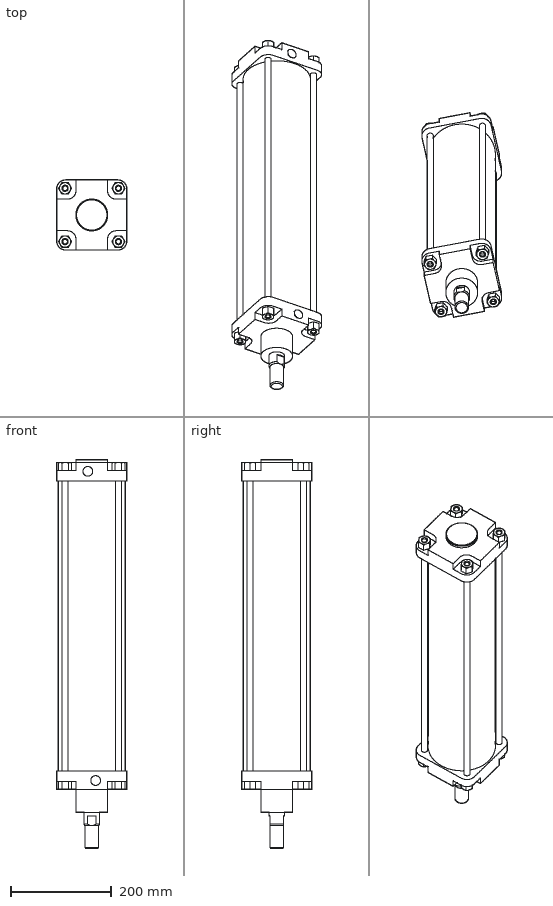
import cadquery as cq
import math

total_length = 774.0
neck_bottom_z = 49.0
flats_top_z = 65.0
collar_bottom_z = 72.0
collar_length = 46.0
cover_height = 37.0
boss_height = 6.0
front_cover_z = collar_bottom_z + collar_length
barrel_bottom_z = front_cover_z + cover_height
rear_cover_top_z = total_length - boss_height
barrel_top_z = rear_cover_top_z - cover_height

cover_width = 140.0
corner_radius = 18.5
pocket_size = 39.0
pocket_depth = 16.0
pocket_radius = 17.0
collar_diameter = 63.5
boss_diameter = 63.5
boss_chamfer = 1.5
port_diameter = 19.0
port_depth = 20.0
port_offset = 8.0
port_drop = 18.0

barrel_diameter = 134.0

tie_rod_spacing = 106.0
tie_rod_diameter = 12.0
nut_across_flats = 22.5
nut_height = pocket_depth
nut_chamfer_height = 1.5
end_hole_diameter = 9.0
end_hole_rim_diameter = 12.0
end_hole_depth = 11.5

rod_diameter = 32.0
rod_flats_width = 27.0
thread_diameter = 27.0
shoulder_height = 3.0
tip_chamfer = 2.0


def cylinder(diameter, z_bottom, height):
    return cq.Workplane("XY").workplane(offset=z_bottom).circle(diameter / 2).extrude(height)


def four_corners(spacing):
    return cq.Workplane("XY").rect(spacing, spacing, forConstruction=True).vertices()


def cover_block(port_x):
    """Square cover with its outer face up at Z = cover_height: nut pockets, rod holes and a port."""
    block = cq.Workplane("XY").rect(cover_width, cover_width).extrude(cover_height)
    block = block.edges("|Z").fillet(corner_radius)

    pockets = four_corners(cover_width).rect(2 * pocket_size, 2 * pocket_size).extrude(pocket_depth)
    pockets = pockets.edges("|Z").fillet(pocket_radius)
    block = block.cut(pockets.translate((0, 0, cover_height - pocket_depth)))

    rod_holes = four_corners(tie_rod_spacing).circle(tie_rod_diameter / 2).extrude(cover_height)
    block = block.cut(rod_holes)

    port = cq.Workplane("XZ").circle(port_diameter / 2).extrude(-port_depth)
    return block.cut(port.translate((port_x, -cover_width / 2, cover_height - port_drop)))


def rear_cover():
    """Upper cover with a low round boss, chamfered at its rim."""
    cover = cover_block(-port_offset).translate((0, 0, barrel_top_z))
    boss = cylinder(boss_diameter, rear_cover_top_z, boss_height).faces(">Z").chamfer(boss_chamfer)
    return cover.union(boss)


def front_cover():
    """Lower cover: outer face down, with the rod collar and a bore for the piston rod."""
    cover = cover_block(port_offset).mirror("XY").translate((0, 0, barrel_bottom_z))
    cover = cover.union(cylinder(collar_diameter, collar_bottom_z, collar_length))
    return cover.cut(cylinder(rod_diameter, collar_bottom_z, collar_length + cover_height))


def piston_rod():
    """Stepped rod from the threaded tip to the barrel, with two wrench flats facing -Y and +Y."""
    tip_radius = thread_diameter / 2
    rod_radius = rod_diameter / 2
    rod = (
        cq.Workplane("XZ")
        .moveTo(0, 0)
        .lineTo(tip_radius - tip_chamfer, 0)
        .lineTo(tip_radius, tip_chamfer)
        .lineTo(tip_radius, neck_bottom_z - shoulder_height)
        .lineTo(rod_radius, neck_bottom_z)
        .lineTo(rod_radius, barrel_bottom_z)
        .lineTo(0, barrel_bottom_z)
        .close()
        .revolve(360, (0, 0), (0, 1))
    )
    wrench_section = cq.Workplane("XY").rect(rod_diameter, rod_flats_width).extrude(flats_top_z)
    upper_section = cylinder(rod_diameter, flats_top_z, barrel_bottom_z - flats_top_z)
    return rod.intersect(wrench_section.union(upper_section))


def nut():
    """Hexagon nut standing on Z = 0 with its upper corners bevelled by a cone."""
    across_corners = nut_across_flats / math.cos(math.pi / 6)
    hexagon = cq.Workplane("XY").polygon(6, across_corners).extrude(nut_height)
    envelope = cq.Workplane("XY").circle(across_corners / 2).extrude(nut_height)
    bevel_width = (across_corners - nut_across_flats) / 2
    envelope = envelope.faces(">Z").chamfer(nut_chamfer_height, bevel_width)
    return hexagon.intersect(envelope)


def end_hole():
    """Countersunk hole running down from Z = 0."""
    radius = end_hole_diameter / 2
    rim_radius = end_hole_rim_diameter / 2
    return (
        cq.Workplane("XZ")
        .lineTo(rim_radius, 0)
        .lineTo(radius, radius - rim_radius)
        .lineTo(radius, -end_hole_depth)
        .lineTo(0, -end_hole_depth)
        .close()
        .revolve(360, (0, 0), (0, 1))
    )


def tie_rod(x, y):
    """Rod through both covers with a nut and an end hole at either end."""
    length = rear_cover_top_z - front_cover_z
    half_length = length / 2
    rod = cylinder(tie_rod_diameter, 0, half_length)
    rod = rod.union(nut().translate((0, 0, half_length - nut_height)))
    rod = rod.cut(end_hole().translate((0, 0, half_length)))
    rod = rod.union(rod.mirror("XY"))
    return rod.translate((x, y, front_cover_z + half_length))


barrel = cylinder(barrel_diameter, barrel_bottom_z, barrel_top_z - barrel_bottom_z)
tie_rod_reach = tie_rod_spacing / 2
tie_rods = [
    tie_rod(x, y)
    for x in (-tie_rod_reach, tie_rod_reach)
    for y in (-tie_rod_reach, tie_rod_reach)
]

result = cq.Compound.makeCompound([
    barrel.val(),
    rear_cover().val(),
    front_cover().val(),
    piston_rod().val(),
    *[rod.val() for rod in tie_rods],
])